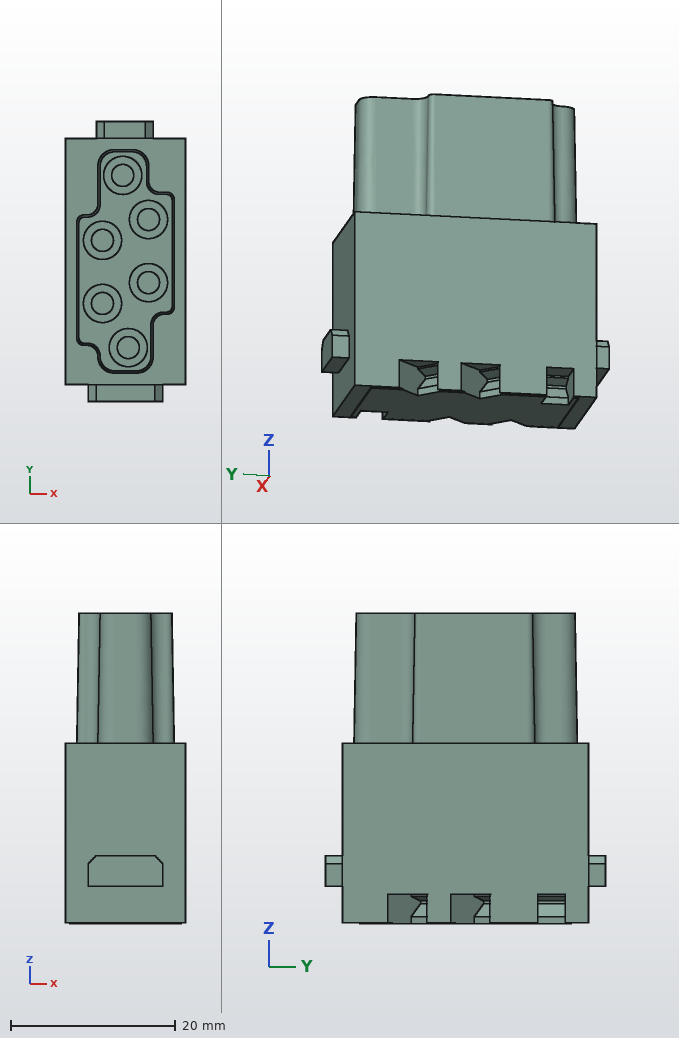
import cadquery as cq

total_height = 37.9
foot_height = 0.1
shoulder_z = 22.05

body_width = 14.65
body_length = 30.0
foot_width = 13.6
foot_length = 25.75

overall_length = 34.2
key_depth = (overall_length - body_length) / 2
key_bottom_z = 4.6
key_height = 3.75
key_chamfer = 1.0
front_key_width = 9.1
back_key_width = 6.97
back_key_x = -0.08

draft_angle = 1.0
plug_half_width = 5.95
plug_back_y = 13.65
plug_front_y = -13.6
neck_x = 3.37
back_neck_right_x = 2.85
left_shoulder_back_y = 5.7
left_shoulder_front_y = -10.25
right_shoulder_back_y = 8.45
right_shoulder_front_y = -6.45
neck_corner_radius = 2.0
shoulder_corner_radius = 0.9
inner_corner_radius = 1.3

contact_positions = [(-2.8, 2.58), (-2.8, -5.1), (0.35, -10.5)]
half_turn = 180.0
bore_diameter = 4.65
pilot_diameter = 2.7
bore_floor_z = shoulder_z
pilot_depth = 2.7

slot_width = 3.37
slot_height = 3.5
slot_angles = [-45.0, -45.0, 0.0]
slot_end_gap = 4.05
slot_overrun = 11.37
undercut_depth = 1.63
undercut_ramp_start_z = 0.87
undercut_floor_low_z = 2.45
undercut_floor_high_z = 2.8
undercut_top_z = 3.37


def make_body():
    foot = cq.Workplane("XY").box(foot_width, foot_length, shoulder_z, centered=(True, True, False))
    block = (
        cq.Workplane("XY")
        .workplane(offset=foot_height)
        .box(body_width, body_length, shoulder_z - foot_height, centered=(True, True, False))
    )
    return block.union(foot)


def make_key(width, center_x, outward):
    """Key with two chamfered upper edges; outward is -1 for the -Y end, +1 for the +Y end."""
    length = body_length / 2 + key_depth
    center_y = outward * length / 2
    return (
        cq.Workplane("XY")
        .box(width, length, key_height, centered=(True, True, False))
        .edges("|Y and >Z")
        .chamfer(key_chamfer)
        .translate((center_x, center_y, key_bottom_z))
    )


def rounded_outline(corners):
    """Closed outline of right-angled (x, y, radius) corners, each rounded by a tangent arc."""
    outline = cq.Workplane("XY").workplane(offset=shoulder_z)
    for index, (x, y, radius) in enumerate(corners):
        corner = cq.Vector(x, y)
        next_index = (index + 1) % len(corners)
        before = (cq.Vector(*corners[index - 1][:2]) - corner).normalized()
        after = (cq.Vector(*corners[next_index][:2]) - corner).normalized()
        arc_start = corner + before * radius
        arc_end = corner + after * radius
        arc_center = corner + (before + after) * radius
        arc_middle = arc_center - (before + after).normalized() * radius
        if index == 0:
            outline = outline.moveTo(arc_start.x, arc_start.y)
        else:
            outline = outline.lineTo(arc_start.x, arc_start.y)
        outline = outline.threePointArc((arc_middle.x, arc_middle.y), (arc_end.x, arc_end.y))
    return outline.close()


def make_plug():
    corners = [
        (-neck_x, plug_back_y, neck_corner_radius),
        (back_neck_right_x, plug_back_y, neck_corner_radius),
        (back_neck_right_x, right_shoulder_back_y, inner_corner_radius),
        (plug_half_width, right_shoulder_back_y, shoulder_corner_radius),
        (plug_half_width, right_shoulder_front_y, shoulder_corner_radius),
        (neck_x, right_shoulder_front_y, inner_corner_radius),
        (neck_x, plug_front_y, neck_corner_radius),
        (-neck_x, plug_front_y, neck_corner_radius),
        (-neck_x, left_shoulder_front_y, inner_corner_radius),
        (-plug_half_width, left_shoulder_front_y, shoulder_corner_radius),
        (-plug_half_width, left_shoulder_back_y, shoulder_corner_radius),
        (-neck_x, left_shoulder_back_y, inner_corner_radius),
    ]
    return rounded_outline(corners).extrude(total_height - shoulder_z, taper=draft_angle)


def make_bore(x, y):
    bore_depth = total_height - bore_floor_z
    bore = cq.Workplane("XY").circle(bore_diameter / 2).extrude(bore_depth)
    pilot = cq.Workplane("XY").circle(pilot_diameter / 2).extrude(-pilot_depth)
    return bore.union(pilot).translate((x, y, bore_floor_z))


def make_slot(x, y, angle):
    """Slot heading towards the contact at (x, y), with a ramped groove in its end wall."""
    end = -slot_end_gap
    groove_end = end + undercut_depth
    slot_top_z = foot_height + slot_height
    profile = [
        (end - slot_overrun, -foot_height),
        (end, -foot_height),
        (end, undercut_ramp_start_z),
        (groove_end, undercut_floor_low_z),
        (groove_end, undercut_floor_high_z),
        (end, undercut_top_z),
        (end, slot_top_z),
        (end - slot_overrun, slot_top_z),
    ]
    return (
        cq.Workplane("XZ")
        .polyline(profile)
        .close()
        .extrude(slot_width / 2, both=True)
        .rotate((0, 0, 0), (0, 0, 1), angle)
        .translate((x, y, 0))
    )


result = (
    make_body()
    .union(make_key(front_key_width, 0, -1))
    .union(make_key(back_key_width, back_key_x, 1))
    .union(make_plug())
)

for (contact_x, contact_y), slot_angle in zip(contact_positions, slot_angles):
    for cutter in (make_bore(contact_x, contact_y), make_slot(contact_x, contact_y, slot_angle)):
        opposite_cutter = cutter.rotate((0, 0, 0), (0, 0, 1), half_turn)
        result = result.cut(cutter).cut(opposite_cutter)